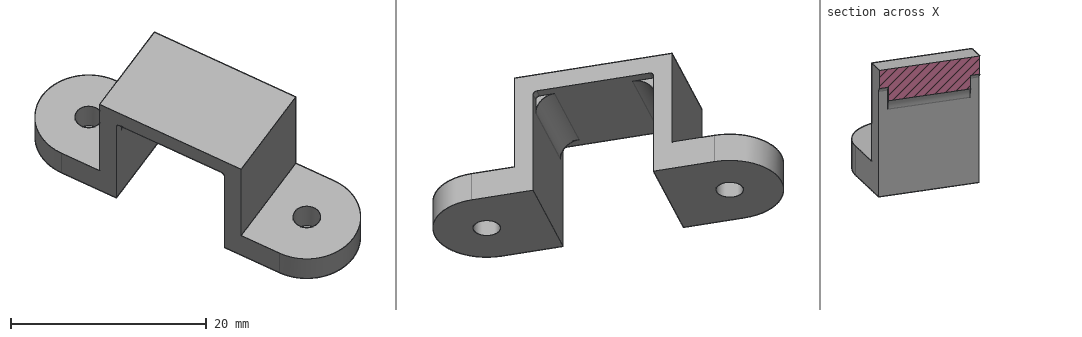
import cadquery as cq

length = 36.85
width = 11.0
height = 14.0
flange_thickness = 3.2
hole_diameter = 2.8

channel_length = 16.75
wall = 2.0
opening_length = channel_length - 2 * wall
opening_height = height - wall
rim_corner_radius = 0.4
left_corner_radius = 2.0
right_corner_radius = 2.5
rim_width = 1.0

end_radius = width / 2
hole_spacing = length - 2 * end_radius


def opening(depth, left_radius, right_radius):
    """Passage along Y with rounded upper corners, centred on the part."""
    block = cq.Workplane("XY").box(opening_length, depth, opening_height, centered=(True, True, False))
    block = block.faces("<X").edges(">Z").fillet(left_radius)
    return block.faces(">X").edges(">Z").fillet(right_radius)


flange = cq.Workplane("XY").slot2D(length, width).extrude(flange_thickness)

channel = cq.Workplane("XY").box(channel_length, width, height, centered=(True, True, False))
body = flange.union(channel)

body = body.cut(opening(width, left_corner_radius, right_corner_radius))
rim_centre = (width - rim_width) / 2
for side in (-1, 1):
    rim_opening = opening(rim_width, rim_corner_radius, rim_corner_radius)
    body = body.cut(rim_opening.translate((0, side * rim_centre, 0)))

holes = (
    cq.Workplane("XY")
    .pushPoints([(-hole_spacing / 2, 0), (hole_spacing / 2, 0)])
    .circle(hole_diameter / 2)
    .extrude(flange_thickness)
)

result = body.cut(holes)